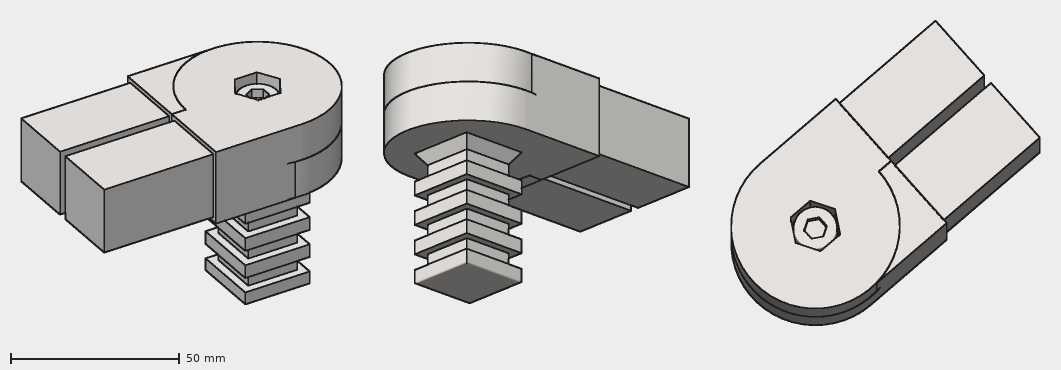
import cadquery as cq

body_height = 25.0
disc_radius = 25.0
body_front = 29.9
running_gap = 0.1
mid_z = body_height / 2

tube_width = 22.0
tube_front = 68.0
tube_offset = disc_radius / 2

pocket_flats = 13.5
pocket_depth = 11.0
head_diameter = 12.9
head_recess = 3.0
head_fillet = 0.5
socket_flats = 5.95
socket_depth = 3.0
shank_diameter = 8.0

shaft_width = 17.0
flare_width = 22.5
flare_height = 3.8
fin_width = 22.5
fin_height = 4.5
fin_gap = 5.0
fin_count = 4
fin_pitch = fin_height + fin_gap
first_fin_top = -9.0
peg_bottom = first_fin_top - (fin_count - 1) * fin_pitch - fin_height
peg_bottom_fillet = 0.5

HEXAGON_CORNER_RATIO = 2 / 3 ** 0.5


def box(x_min, x_max, y_min, y_max, z_min, z_max):
    size = (x_max - x_min, y_max - y_min, z_max - z_min)
    return cq.Workplane().box(*size, centered=False).translate((x_min, y_min, z_min))


def cylinder(diameter, z_min, z_max):
    return cq.Workplane().workplane(offset=z_min).circle(diameter / 2).extrude(z_max - z_min)


def square_bar(width, z_min, z_max):
    half = width / 2
    return box(-half, half, -half, half, z_min, z_max)


def hexagon_prism(across_flats, z_min, z_max, turn=0):
    corners = across_flats * HEXAGON_CORNER_RATIO
    prism = cq.Workplane().workplane(offset=z_min).polygon(6, corners).extrude(z_max - z_min)
    return prism.rotate((0, 0, 0), (0, 0, 1), turn)


def lower_half():
    """Half hinge with its disc at the bottom and its full-height arm on the -X side."""
    disc = cylinder(2 * disc_radius, 0, mid_z)
    arm = box(-disc_radius, -running_gap / 2, -body_front, 0, 0, body_height)
    clearance = cylinder(2 * (disc_radius + running_gap), mid_z - running_gap / 2, body_height)
    half_tube = tube_width / 2
    tube = box(
        -tube_offset - half_tube, -tube_offset + half_tube,
        -tube_front, -body_front,
        mid_z - half_tube, mid_z + half_tube,
    )
    return disc.union(arm).cut(clearance).union(tube)


def upper_half():
    """The lower half turned over about the Y direction through the middle height."""
    return lower_half().rotate((0, 0, mid_z), (0, 1, mid_z), 180)


def bolt():
    head_top = body_height - head_recess
    head_bottom = body_height - pocket_depth
    head = cylinder(head_diameter, head_bottom, head_top).faces(">Z").edges().fillet(head_fillet)
    shank = cylinder(shank_diameter, 0, head_bottom)
    socket = hexagon_prism(socket_flats, head_top - socket_depth, head_top)
    return head.union(shank).cut(socket)


def peg():
    shaft = square_bar(shaft_width, peg_bottom, 0)
    flare = (
        cq.Workplane().rect(flare_width, flare_width)
        .workplane(offset=-flare_height).rect(shaft_width, shaft_width)
        .loft()
    )
    ribbed = shaft.union(flare)
    for index in range(fin_count):
        fin_top = first_fin_top - index * fin_pitch
        ribbed = ribbed.union(square_bar(fin_width, fin_top - fin_height, fin_top))
    return ribbed.faces("<Z").edges().fillet(peg_bottom_fillet)


pocket = hexagon_prism(pocket_flats, body_height - pocket_depth, body_height, turn=30)
hinge = lower_half().union(upper_half()).cut(pocket)
result = hinge.union(bolt()).union(peg())